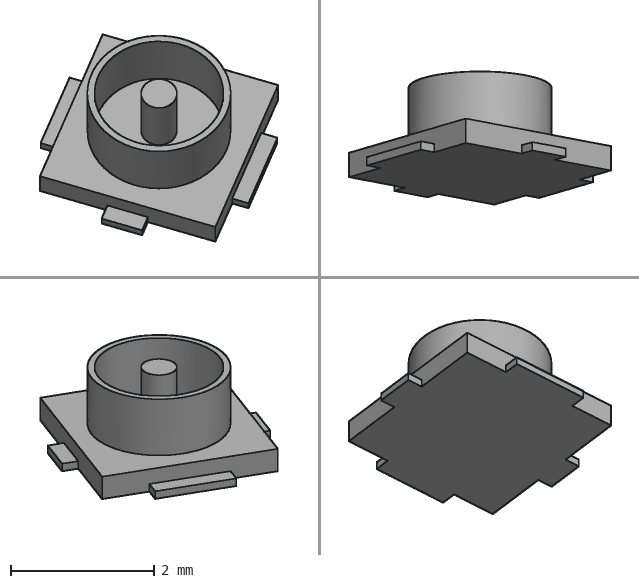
import cadquery as cq

overall_span = 3.08
overall_height = 1.23

base_side = 2.6
base_height = 0.35

tab_height = 0.12
x_tab_width = 1.2
y_tab_width = 0.6

shell_outer_diameter = 2.0
shell_inner_diameter = 1.8
pin_diameter = 0.5
shell_height = overall_height - base_height


def block(size_x, size_y, height):
    """Block centred on the Z axis, standing on Z = 0."""
    return cq.Workplane("XY").box(size_x, size_y, height, centered=(True, True, False))


base = block(base_side, base_side, base_height)
x_tabs = block(overall_span, x_tab_width, tab_height)
y_tabs = block(y_tab_width, overall_span, tab_height)

base_top = cq.Workplane("XY").workplane(offset=base_height)
shell = (
    base_top
    .circle(shell_outer_diameter / 2)
    .circle(shell_inner_diameter / 2)
    .extrude(shell_height)
)
pin = base_top.circle(pin_diameter / 2).extrude(shell_height)

result = base.union(x_tabs).union(y_tabs).union(shell).union(pin)